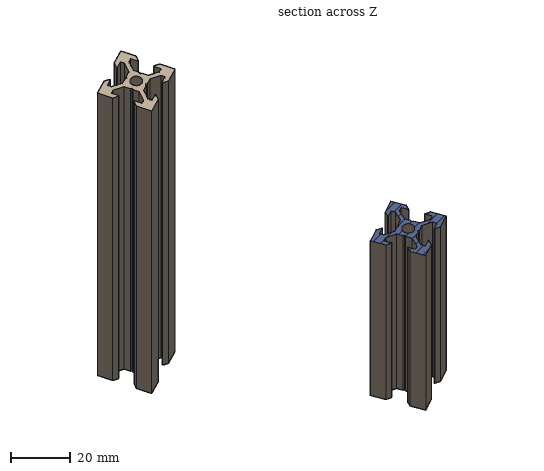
import cadquery as cq

length = 150.0
side = 20.0
mouth_half_width = 4.4
throat_half_width = 2.8
lip_thickness = 1.8
cavity_half_width = 5.5
core_half_width = 3.9
web_thickness = 1.6
bore_diameter = 4.2
groove_half_width = 0.5

half_side = side / 2
lip_inner = half_side - lip_thickness
bevel_depth = mouth_half_width - throat_half_width
web_offset = web_thickness / 2 ** 0.5


def slot_cutter():
    """V-mouthed T-slot with a grooved floor on the +Y face, running the full length."""
    right_edge = [
        (mouth_half_width, half_side),
        (throat_half_width, half_side - bevel_depth),
        (throat_half_width, lip_inner),
        (cavity_half_width, lip_inner),
        (cavity_half_width, cavity_half_width + web_offset),
        (core_half_width - web_offset, core_half_width),
        (groove_half_width, core_half_width),
    ]
    groove_bottom = [(0, core_half_width - groove_half_width)]
    left_edge = [(-x, y) for x, y in reversed(right_edge)]
    return cq.Workplane("XY").polyline(right_edge + groove_bottom + left_edge).close().extrude(length)


result = cq.Workplane("XY").rect(side, side).extrude(length)

for quarter_turn in range(4):
    slot = slot_cutter().rotate((0, 0, 0), (0, 0, 1), 90 * quarter_turn)
    result = result.cut(slot)

bore = cq.Workplane("XY").circle(bore_diameter / 2).extrude(length)
result = result.cut(bore)